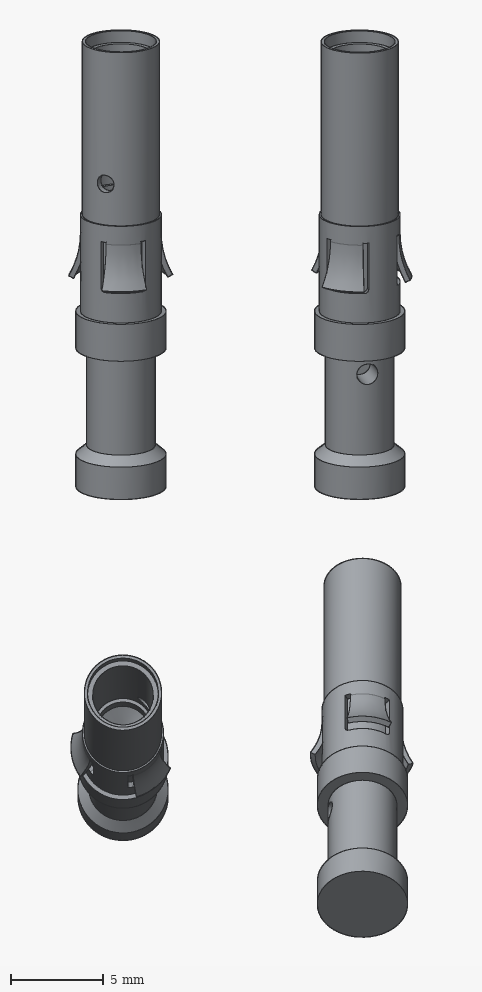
import cadquery as cq
import math

length = 25.2
tube_radius = 2.1
neck_radius = 1.86
seat_radius = 1.9
flange_radius = 2.45
flange_height = 1.85
flange_cone_top = 2.35
collar_bottom = 7.84
collar_top = 9.93

mouth_radius = 1.92
mouth_depth = 0.65
bore_radius = 1.65
bore_floor = 16.63
pilot_radius = 1.44
pilot_floor = 15.62
drill_point_angle = 118.0
drill_point_depth = pilot_radius / math.tan(math.radians(drill_point_angle / 2))

tube_hole_diameter = 0.98
tube_hole_height = 17.72
neck_hole_diameter = 1.15
neck_hole_height = 6.9

sleeve_radius = 2.2
sleeve_top = 15.4
sleeve_thickness = sleeve_radius - seat_radius
tang_angles = (56.0, 177.0, 298.0)
window_sweep = 67.0
window_bottom = 11.6
window_top = 14.45
window_corner_radius = 0.25
cut_margin = 0.25
tang_sweep = 51.0
tang_bend_height = 14.35
tang_tip_height = 11.9
tang_tip_radius = 2.82


def sector(profile, sweep, middle_angle):
    """Revolve an XZ profile about Z, centred on the given direction."""
    solid = profile.revolve(sweep, (0, 0, 0), (0, 1, 0))
    return solid.rotate((0, 0, 0), (0, 0, 1), middle_angle - sweep / 2)


def side_hole(diameter, height, direction):
    """Round cutter from the axis outwards along +Y or -Y."""
    cutter = cq.Workplane("XZ", origin=(0, 0, height)).circle(diameter / 2)
    return cutter.extrude(-direction * flange_radius)


def make_contact():
    outline = (
        cq.Workplane("XZ")
        .moveTo(0, 0)
        .lineTo(flange_radius, 0)
        .lineTo(flange_radius, flange_height)
        .lineTo(neck_radius, flange_cone_top)
        .lineTo(neck_radius, collar_bottom)
        .lineTo(flange_radius, collar_bottom)
        .lineTo(flange_radius, collar_top)
        .lineTo(seat_radius, collar_top)
        .lineTo(seat_radius, sleeve_top)
        .lineTo(tube_radius, sleeve_top)
        .lineTo(tube_radius, length)
        .lineTo(mouth_radius, length)
        .lineTo(mouth_radius, length - mouth_depth)
        .lineTo(bore_radius, length - mouth_depth)
        .lineTo(bore_radius, bore_floor)
        .lineTo(pilot_radius, bore_floor)
        .lineTo(pilot_radius, pilot_floor)
        .lineTo(0, pilot_floor - drill_point_depth)
        .close()
    )
    body = outline.revolve(360, (0, 0, 0), (0, 1, 0))
    body = body.cut(side_hole(tube_hole_diameter, tube_hole_height, -1))
    return body.cut(side_hole(neck_hole_diameter, neck_hole_height, 1))


def make_window(middle_angle):
    """Sleeve wall cutter with rounded lower corners, leaving the wall whole above the tang's bend."""
    profile = (
        cq.Workplane("XZ")
        .moveTo(seat_radius - cut_margin, window_bottom)
        .lineTo(sleeve_radius + cut_margin, window_bottom)
        .lineTo(sleeve_radius + cut_margin, window_top)
        .lineTo(seat_radius - cut_margin, window_top)
        .close()
    )
    window = sector(profile, window_sweep, middle_angle)
    window = window.faces("<Z").edges("%LINE").fillet(window_corner_radius)
    tang_root = (
        cq.Workplane("XZ")
        .moveTo(seat_radius - 2 * cut_margin, tang_bend_height)
        .lineTo(sleeve_radius + 2 * cut_margin, tang_bend_height)
        .lineTo(sleeve_radius + 2 * cut_margin, window_top + cut_margin)
        .lineTo(seat_radius - 2 * cut_margin, window_top + cut_margin)
        .close()
    )
    return window.cut(sector(tang_root, tang_sweep, middle_angle))


def make_tang(middle_angle):
    """Strip of the sleeve wall that flares outwards in an arc towards its lower tip."""
    drop = tang_bend_height - tang_tip_height
    flare = tang_tip_radius - sleeve_radius
    outer_bend = (drop**2 + flare**2) / (2 * flare)
    inner_bend = outer_bend + sleeve_thickness
    bend_center = sleeve_radius + outer_bend
    bend_angle = math.asin(drop / outer_bend)

    def bend_point(bend_radius, angle):
        return (
            bend_center - bend_radius * math.cos(angle),
            tang_bend_height - bend_radius * math.sin(angle),
        )

    profile = (
        cq.Workplane("XZ")
        .moveTo(seat_radius, tang_bend_height)
        .lineTo(sleeve_radius, tang_bend_height)
        .threePointArc(bend_point(outer_bend, bend_angle / 2), bend_point(outer_bend, bend_angle))
        .lineTo(*bend_point(inner_bend, bend_angle))
        .threePointArc(bend_point(inner_bend, bend_angle / 2), (seat_radius, tang_bend_height))
        .close()
    )
    return sector(profile, tang_sweep, middle_angle)


def make_sleeve():
    sleeve = (
        cq.Workplane("XY", origin=(0, 0, collar_top))
        .circle(sleeve_radius)
        .circle(seat_radius)
        .extrude(sleeve_top - collar_top)
    )
    for angle in tang_angles:
        sleeve = sleeve.cut(make_window(angle)).union(make_tang(angle))
    return sleeve


contact = make_contact()
sleeve = make_sleeve()
result = cq.Compound.makeCompound([contact.val(), *sleeve.vals()])